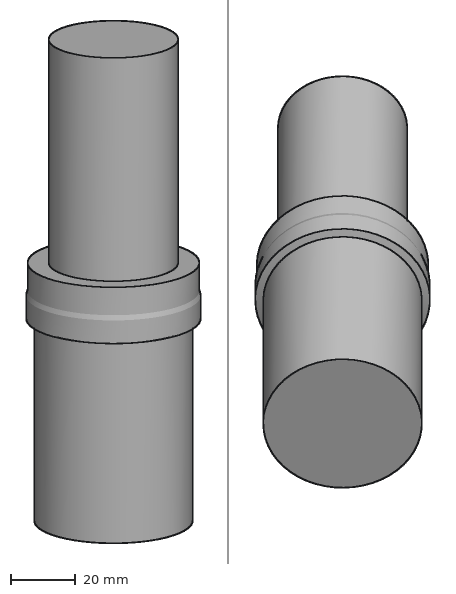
import cadquery as cq

total_height = 155.0
body_diameter = 49.0
body_height = 64.3
collar_diameter = 53.0
collar_top = 83.1
band_diameter = 54.0
band_top = 74.1
upper_bevel_height = 1.5
lower_bevel_height = 0.8
shank_diameter = 40.0

body_radius = body_diameter / 2
collar_radius = collar_diameter / 2
band_radius = band_diameter / 2
shank_radius = shank_diameter / 2

profile = (
    cq.Workplane("XZ")
    .lineTo(body_radius, 0)
    .lineTo(body_radius, body_height)
    .lineTo(band_radius, body_height + lower_bevel_height)
    .lineTo(band_radius, band_top - upper_bevel_height)
    .lineTo(collar_radius, band_top)
    .lineTo(collar_radius, collar_top)
    .lineTo(shank_radius, collar_top)
    .lineTo(shank_radius, total_height)
    .lineTo(0, total_height)
    .close()
)

result = profile.revolve(360, (0, 0), (0, 1))